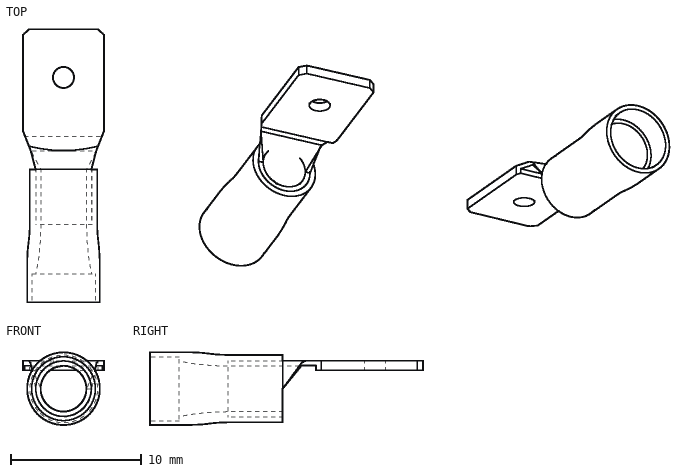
import cadquery as cq
import math


SLEEVE_LENGTH = 10.2
MOUTH_RADIUS = 2.8
GRIP_RADIUS = 2.6
MOUTH_END = 3.13
SLOPE_START = 4.4
SLOPE_END = 4.65
GRIP_START = 5.98

WALL = 0.4
BARREL_RADIUS = 2.15
BARREL_BORE_RADIUS = BARREL_RADIUS - WALL
BARREL_START = GRIP_START

ENTRY_RADIUS = 2.45
ENTRY_DEPTH = 2.2
FUNNEL_RADIUS = 2.13

TAB_WIDTH = 6.25
TAB_THICKNESS = 0.75
TAB_TOP = BARREL_RADIUS
TAB_BOTTOM = TAB_TOP - TAB_THICKNESS
TAB_END = 20.98
TAPER_START = 13.17
CORNER_X = 0.5
CORNER_Y = 0.45
HOLE_DIAMETER = 1.6
HOLE_Y = 17.26

ROOT_BOTTOM = TAB_TOP - TAB_THICKNESS / 2
ROOT_STEP = 12.75
NECK_END = 11.65
NECK_HALF_WIDTH = 2.53
ARCH_DROP = 0.17
ARCH_RUN = 0.3


def make_sleeve():
    """Tube with an S-curved swelling outside and a stepped, funnelled bore."""
    mouth_run = SLOPE_START - MOUTH_END
    grip_run = GRIP_START - SLOPE_END
    level_run = mouth_run / 2 + (SLOPE_END - SLOPE_START) + grip_run / 2
    slope = (MOUTH_RADIUS - GRIP_RADIUS) / level_run
    slope_start_radius = MOUTH_RADIUS - slope * mouth_run / 2
    slope_end_radius = GRIP_RADIUS + slope * grip_run / 2
    funnel_middle = (BARREL_START + ENTRY_DEPTH) / 2
    funnel_middle_radius = BARREL_BORE_RADIUS + (FUNNEL_RADIUS - BARREL_BORE_RADIUS) / 4
    return (
        cq.Workplane("YZ")
        .moveTo(0, ENTRY_RADIUS)
        .lineTo(0, MOUTH_RADIUS)
        .lineTo(MOUTH_END, MOUTH_RADIUS)
        .tangentArcPoint((SLOPE_START, slope_start_radius), relative=False)
        .lineTo(SLOPE_END, slope_end_radius)
        .tangentArcPoint((GRIP_START, GRIP_RADIUS), relative=False)
        .lineTo(SLEEVE_LENGTH, GRIP_RADIUS)
        .lineTo(SLEEVE_LENGTH, BARREL_RADIUS)
        .lineTo(BARREL_START, BARREL_RADIUS)
        .lineTo(BARREL_START, BARREL_BORE_RADIUS)
        .threePointArc((funnel_middle, funnel_middle_radius), (ENTRY_DEPTH, FUNNEL_RADIUS))
        .lineTo(ENTRY_DEPTH, ENTRY_RADIUS)
        .close()
        .revolve(360, (0, 0, 0), (1, 0, 0))
    )


def make_barrel():
    """Plain crimp tube, from the end of the funnel to the end of the sleeve."""
    return (
        cq.Workplane("XZ", origin=(0, BARREL_START, 0))
        .circle(BARREL_RADIUS)
        .circle(BARREL_BORE_RADIUS)
        .extrude(BARREL_START - SLEEVE_LENGTH)
    )


def arc_across(y, half_width, crown_z, side_z):
    """Arc in a plane of constant Y, rising from both sides to a crown at X = 0."""
    return cq.Edge.makeThreePointArc(
        cq.Vector(-half_width, y, side_z),
        cq.Vector(0, y, crown_z),
        cq.Vector(half_width, y, side_z),
    )


def line_across(y, half_width, z):
    """Straight edge along X."""
    return cq.Edge.makeLine(cq.Vector(-half_width, y, z), cq.Vector(half_width, y, z))


def make_neck():
    """Upper half of the barrel wall, opening out and flattening into a strip."""
    barrel_outside = arc_across(SLEEVE_LENGTH, BARREL_RADIUS, BARREL_RADIUS, 0)
    barrel_inside = arc_across(SLEEVE_LENGTH, BARREL_BORE_RADIUS, BARREL_BORE_RADIUS, 0)
    strip_bottom = line_across(NECK_END, NECK_HALF_WIDTH, ROOT_BOTTOM)
    strip_top = arc_across(NECK_END, NECK_HALF_WIDTH, TAB_TOP, TAB_TOP - ARCH_DROP)

    rails = [barrel_outside, barrel_inside, strip_bottom, strip_top]
    faces = [
        cq.Face.makeRuledSurface(rail, next_rail)
        for rail, next_rail in zip(rails, rails[1:] + rails[:1])
    ]
    for side in (0, 1):
        corners = [rail.positionAt(side) for rail in rails]
        barrel_edge = cq.Edge.makeLine(corners[0], corners[1])
        strip_edge = cq.Edge.makeLine(corners[3], corners[2])
        faces.append(cq.Face.makeRuledSurface(barrel_edge, strip_edge))
    return cq.Workplane(cq.Solid.makeSolid(cq.Shell.makeShell(faces)))


def make_blade():
    """Flat blade with cut corners at the free end and a tapered root."""
    half_width = TAB_WIDTH / 2
    return (
        cq.Workplane("XY", origin=(0, 0, TAB_BOTTOM))
        .moveTo(0, NECK_END)
        .lineTo(NECK_HALF_WIDTH, NECK_END)
        .lineTo(half_width, TAPER_START)
        .lineTo(half_width, TAB_END - CORNER_Y)
        .lineTo(half_width - CORNER_X, TAB_END)
        .lineTo(0, TAB_END)
        .mirrorY()
        .extrude(TAB_THICKNESS)
    )


def make_locating_hole():
    """Cylinder removed through the blade."""
    return (
        cq.Workplane("XY", origin=(0, HOLE_Y, TAB_BOTTOM))
        .circle(HOLE_DIAMETER / 2)
        .extrude(TAB_THICKNESS)
    )


def make_root_relief():
    """Block removed from under the tab to thin its root."""
    return cq.Workplane("XY", origin=(0, NECK_END, TAB_BOTTOM)).box(
        TAB_WIDTH, ROOT_STEP - NECK_END, ROOT_BOTTOM - TAB_BOTTOM, centered=(True, False, False)
    )


def make_arch_relief():
    """Sloping cut above the arch of the neck's end, running out in the tab's top."""
    arch_radius = (NECK_HALF_WIDTH**2 + ARCH_DROP**2) / (2 * ARCH_DROP)
    half_width = TAB_WIDTH / 2
    side_z = TAB_TOP - arch_radius + math.sqrt(arch_radius**2 - half_width**2)
    arch = arc_across(NECK_END, half_width, TAB_TOP, side_z)
    lid_z = TAB_TOP + ARCH_DROP
    lid = cq.Edge.makeLine(
        cq.Vector(half_width, NECK_END, lid_z), cq.Vector(-half_width, NECK_END, lid_z)
    )
    sides = [
        cq.Edge.makeLine(arch.endPoint(), lid.startPoint()),
        cq.Edge.makeLine(lid.endPoint(), arch.startPoint()),
    ]
    outline = cq.Wire.assembleEdges([arch, sides[0], lid, sides[1]])
    climb = cq.Vector(0, ARCH_RUN, ARCH_DROP) * 2
    return cq.Workplane(cq.Solid.extrudeLinear(outline, [], climb))


sleeve = make_sleeve()

tab = make_blade().cut(make_locating_hole()).cut(make_root_relief()).cut(make_arch_relief())
terminal = make_barrel().union(make_neck()).union(tab)

result = cq.Compound.makeCompound([sleeve.val(), terminal.solids().val()])